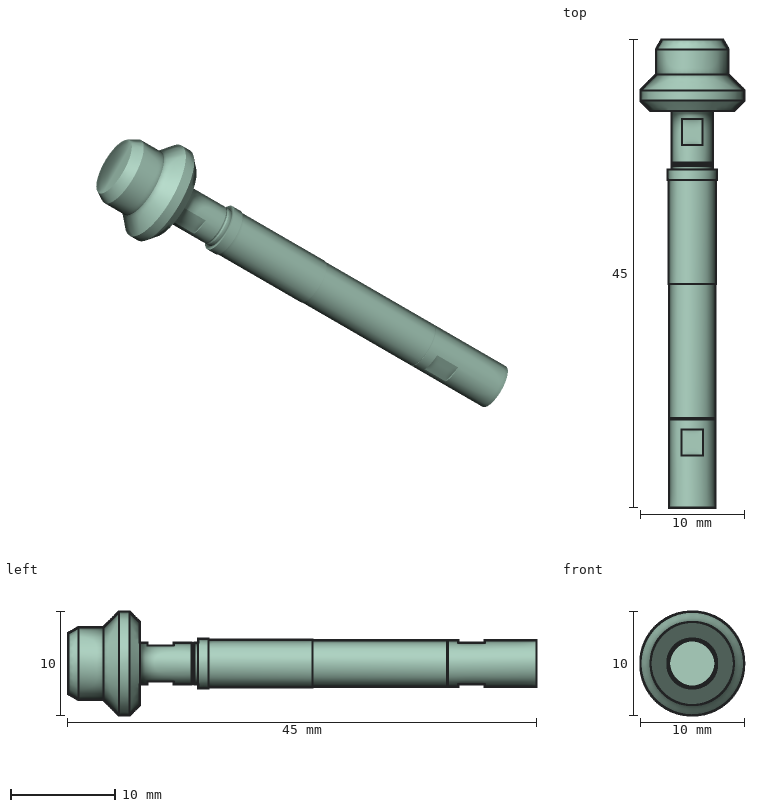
import cadquery as cq
import math

overall_length = 45.0

nose_diameter = 7.0
nose_chamfer_length = 1.0
nose_chamfer_angle = 30.0
nose_length = 3.4
flange_diameter = 10.0
flange_rim_length = 1.0
flange_chamfer = 1.0

neck_diameter = 4.0
collar_diameter = 4.8
sleeve_diameter = 4.6
tail_diameter = 4.5

collar_start = 12.5
collar_length = 1.0
sleeve_end = 23.5

neck_groove_center = 12.0
neck_groove_width = 0.3
tail_groove_center = 36.45
tail_groove_width = 0.1
groove_depth = 0.05

flat_length = 2.5
neck_flat_offset = 0.75
neck_across_flats = 3.5
tail_flat_start = 37.5
tail_across_flats = 4.0

nose_radius = nose_diameter / 2
flange_radius = flange_diameter / 2
nose_end_radius = nose_radius - nose_chamfer_length * math.tan(math.radians(nose_chamfer_angle))
flange_rim_start = nose_length + flange_radius - nose_radius
flange_rim_end = flange_rim_start + flange_rim_length
head_length = flange_rim_end + flange_chamfer
collar_end = collar_start + collar_length


def station(distance):
    """Y position of a point at the given distance from the head end face."""
    return overall_length - distance


def turned_body():
    """Revolve the stepped half profile about the Y axis."""
    profile = [
        (0, 0),
        (nose_end_radius, 0),
        (nose_radius, nose_chamfer_length),
        (nose_radius, nose_length),
        (flange_radius, flange_rim_start),
        (flange_radius, flange_rim_end),
        (flange_radius - flange_chamfer, head_length),
        (neck_diameter / 2, head_length),
        (neck_diameter / 2, collar_start),
        (collar_diameter / 2, collar_start),
        (collar_diameter / 2, collar_end),
        (sleeve_diameter / 2, collar_end),
        (sleeve_diameter / 2, sleeve_end),
        (tail_diameter / 2, sleeve_end),
        (tail_diameter / 2, overall_length),
        (0, overall_length),
    ]
    points = [(radius, station(distance)) for radius, distance in profile]
    return cq.Workplane("XY").polyline(points).close().revolve(360, (0, 0), (0, 1))


def v_groove(diameter, center, width):
    """Cutter for a shallow V-shaped ring groove."""
    radius = diameter / 2
    points = [
        (radius - groove_depth, station(center)),
        (radius, station(center - width / 2)),
        (flange_radius, station(center - width / 2)),
        (flange_radius, station(center + width / 2)),
        (radius, station(center + width / 2)),
    ]
    return cq.Workplane("XY").polyline(points).close().revolve(360, (0, 0), (0, 1))


def square_groove(diameter, center, width):
    """Cutter for a shallow square-bottomed ring groove."""
    start = station(center + width / 2)
    bottom_radius = diameter / 2 - groove_depth
    ring = cq.Workplane("XZ", origin=(0, start, 0)).circle(flange_radius).circle(bottom_radius)
    return ring.extrude(-width)


def wrench_flats(start, across_flats):
    """Cutters for two opposite flats facing +Z and -Z."""
    center = station(start + flat_length / 2)
    cutters = cq.Workplane("XY")
    for side in (1, -1):
        block_center = (0, center, side * (across_flats + flange_diameter) / 2)
        block = cq.Workplane("XY").box(flange_diameter, flat_length, flange_diameter)
        cutters = cutters.add(block.translate(block_center))
    return cutters.combine()


result = (
    turned_body()
    .cut(v_groove(neck_diameter, neck_groove_center, neck_groove_width))
    .cut(square_groove(tail_diameter, tail_groove_center, tail_groove_width))
    .cut(wrench_flats(head_length + neck_flat_offset, neck_across_flats))
    .cut(wrench_flats(tail_flat_start, tail_across_flats))
)